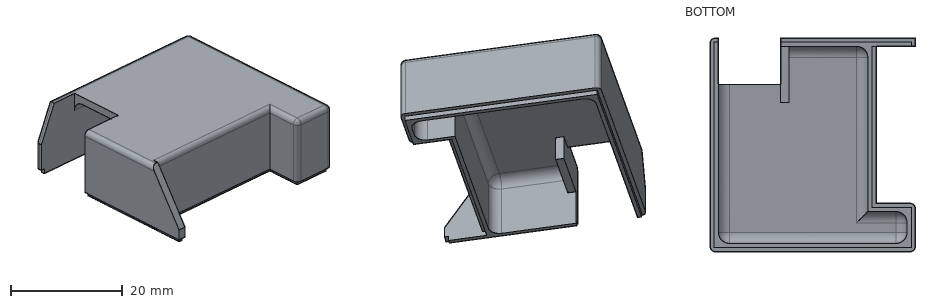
import cadquery as cq

length_x = 36.7
width_y = 38.2
height = 13.5

wall = 1.5
outer_radius = 1.0
inner_radius = 2.0

step_x = 29.7
step_y = 29.5

notch_right = 12.6
notch_depth = 8.3

left_slope_run = 3.2
left_slope_foot = 6.2

wing_tip_height = 3.0
wing_overlap = 2 * wall

lip_height = 0.95
lip_inset = 0.75

rib_thickness = wall
rib_end_y = 11.5
rib_bottom = 7.1
rib_embed = wall / 2


def box(x0, x1, y0, y1, z0, z1):
    """Block between two opposite corners."""
    return cq.Workplane("XY").box(x1 - x0, y1 - y0, z1 - z0, centered=False).translate((x0, y0, z0))


def stepped_block(inset, top):
    """Solid with the stepped outline, every side moved inwards by inset, from the base to top."""
    left = front = inset
    right = length_x - inset
    back = width_y - inset
    inner_x = step_x - inset
    inner_y = step_y + inset
    outline = [
        (left, front),
        (inner_x, front),
        (inner_x, inner_y),
        (right, inner_y),
        (right, back),
        (left, back),
    ]
    return cq.Workplane("XY").polyline(outline).close().extrude(top)


def notch():
    """Opening through the roof and the front wall, beside the left wall."""
    return box(wall, notch_right, 0, notch_depth, 0, height)


def left_slope():
    """Wedge taken off the front end of the left wall."""
    return (
        cq.Workplane("YZ")
        .polyline([(0, left_slope_foot), (left_slope_run, height), (0, height)])
        .close()
        .extrude(wall)
    )


def edge_at(point):
    """Selector for the edge whose centre is closest to the point."""
    return cq.selectors.NearestToPointSelector(point)


def outer_body():
    """Notched outer block with its exposed edges rounded."""
    body = stepped_block(0, height).cut(notch()).cut(left_slope())
    mid_z = height / 2
    rounded_edges = [
        (0, 0, left_slope_foot / 2),
        (0, width_y, mid_z),
        (length_x, width_y, mid_z),
        (length_x, step_y, mid_z),
        (0, left_slope_run / 2, (left_slope_foot + height) / 2),
        (0, (left_slope_run + width_y) / 2, height),
        (length_x / 2, width_y, height),
        (length_x, (step_y + width_y) / 2, height),
        ((step_x + length_x) / 2, step_y, height),
        (step_x, step_y / 2, height),
        ((notch_right + step_x) / 2, 0, height),
    ]
    selected = [body.edges(edge_at(p)).val() for p in rounded_edges]
    return cq.Workplane("XY").newObject([body.val().fillet(outer_radius, selected)])


def wing():
    """Front plate with a rounded top edge, cut along the slope towards its tip."""
    plate = box(step_x - wing_overlap, length_x, 0, wall, 0, height)
    plate = plate.edges("|X and >Z and <Y").fillet(outer_radius)
    slope = (
        cq.Workplane("XZ")
        .polyline([(step_x, height), (length_x, wing_tip_height), (length_x, height)])
        .close()
        .extrude(-wall)
    )
    return plate.cut(slope)


def lip_clearance():
    """Material removed around the bottom rim so that only the inset lip remains."""
    wing_lip = box(step_x - wing_overlap, length_x - lip_inset, lip_inset, wall, 0, lip_height)
    lip = stepped_block(lip_inset, lip_height).union(wing_lip)
    return box(0, length_x, 0, width_y, 0, lip_height).cut(lip)


def cavity():
    """Hollow inside, open at the base, with rounded roof and corner edges."""
    inside = stepped_block(wall, height - wall)
    inner_corner = cq.selectors.BoxSelector(
        (step_x - 2 * wall, step_y, 0),
        (step_x, step_y + 2 * wall, height - wall),
    )
    corners = cq.selectors.SubtractSelector(cq.selectors.StringSyntaxSelector("|Z"), inner_corner)
    return inside.edges(corners).fillet(inner_radius).faces(">Z").edges().fillet(inner_radius)


def rib():
    """Plate under the roof, rooted in the roof and the front wall."""
    front = wall - rib_embed
    top = height - wall + rib_embed
    return box(notch_right, notch_right + rib_thickness, front, rib_end_y, rib_bottom, top)


result = outer_body().union(wing()).cut(lip_clearance()).cut(cavity()).union(rib())